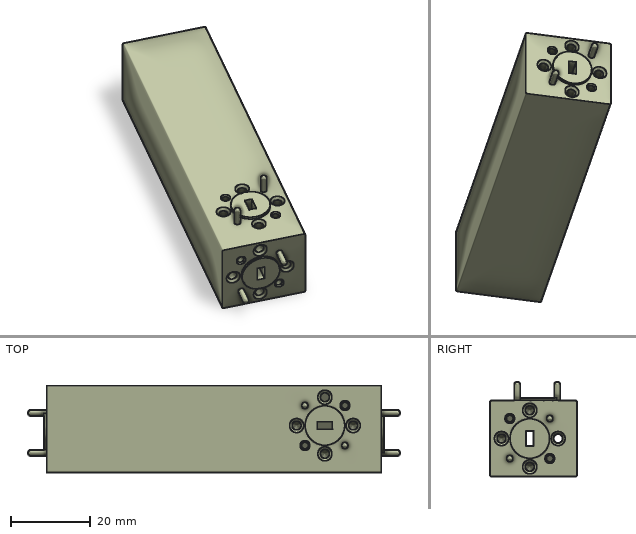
import cadquery as cq
import math

overall_length = 94.0
body_width = 22.1
pin_height = 4.7
body_length = overall_length - 2 * pin_height
overall_height = 24.0
body_height = overall_height - pin_height
edge_radius = 0.6

boss_diameter = 10.0
boss_height = 0.7
guide_long = 3.8
guide_short = 1.9
bolt_circle_radius = 7.1
dowel_offset = bolt_circle_radius * math.sqrt(0.5)

screw_hole_diameter = 2.3
screw_mouth_diameter = 3.6
screw_hole_depth = 5.6
drill_point_depth = 0.7

pin_diameter = 1.6
dowel_hole_diameter = 1.7
dowel_mouth_diameter = 2.4
dowel_hole_depth = 3.8

end_port_y = -0.9
top_port_y = 0.9
top_port_end_distance = 14.3
top_port_x = body_length / 2 - top_port_end_distance
top_guide_depth = body_height / 2

left_port = cq.Plane((-body_length / 2, end_port_y, 0), xDir=(0, 0, 1), normal=(-1, 0, 0))
right_port = cq.Plane((body_length / 2, end_port_y, 0), xDir=(0, 0, 1), normal=(1, 0, 0))
top_port = cq.Plane((top_port_x, top_port_y, body_height / 2), xDir=(1, 0, 0), normal=(0, 0, 1))
ports = (left_port, right_port, top_port)

screw_points = [
    (bolt_circle_radius, 0),
    (0, bolt_circle_radius),
    (-bolt_circle_radius, 0),
    (0, -bolt_circle_radius),
]
pin_points = [(-dowel_offset, dowel_offset), (dowel_offset, -dowel_offset)]
dowel_hole_points = [(dowel_offset, dowel_offset), (-dowel_offset, -dowel_offset)]


def place(solid, port, points):
    """Copies of a solid at the given points of a flange."""
    return cq.Workplane(port).pushPoints(points).eachpoint(lambda spot: solid.moved(spot), True)


def sunk_hole(diameter, mouth_diameter, depth, point_depth):
    """Cutter for a hole with a 45 degree countersink and a conical bottom."""
    radius = diameter / 2
    mouth_radius = mouth_diameter / 2
    sink_depth = mouth_radius - radius
    profile = [
        (0, 0),
        (mouth_radius, 0),
        (radius, -sink_depth),
        (radius, -depth),
        (0, -depth - point_depth),
    ]
    return cq.Workplane("XZ").polyline(profile).close().revolve(360, (0, 0, 0), (0, 1, 0)).val()


def dowel_pin():
    """Pin standing on the flange face with a hemispherical tip."""
    radius = pin_diameter / 2
    shoulder_height = pin_height - radius
    tip_middle = (radius * math.sqrt(0.5), shoulder_height + radius * math.sqrt(0.5))
    return (
        cq.Workplane("XZ")
        .lineTo(radius, 0)
        .lineTo(radius, shoulder_height)
        .threePointArc(tip_middle, (0, pin_height))
        .close()
        .revolve(360, (0, 0, 0), (0, 1, 0))
        .val()
    )


block = cq.Workplane("XY").box(body_length, body_width, body_height).edges("|X").fillet(edge_radius)

for port in ports:
    block = block.union(cq.Workplane(port).circle(boss_diameter / 2).extrude(boss_height))

screw_hole = sunk_hole(screw_hole_diameter, screw_mouth_diameter, screw_hole_depth, drill_point_depth)
dowel_hole = sunk_hole(dowel_hole_diameter, dowel_mouth_diameter, dowel_hole_depth, 0)
pin = dowel_pin()
for port in ports:
    block = block.cut(place(screw_hole, port, screw_points))
    block = block.cut(place(dowel_hole, port, dowel_hole_points))
    block = block.union(place(pin, port, pin_points))

flat_hole_depth = screw_hole_depth + drill_point_depth
flat_hole = (
    cq.Workplane(top_port)
    .center(0, bolt_circle_radius)
    .circle(screw_hole_diameter / 2)
    .extrude(-flat_hole_depth)
)
block = block.cut(flat_hole)

main_guide = cq.Workplane("XY").box(overall_length, guide_short, guide_long).translate((0, end_port_y, 0))
block = block.cut(main_guide)

branch_guide = (
    cq.Workplane(top_port)
    .workplane(offset=boss_height)
    .rect(guide_long, guide_short)
    .extrude(-top_guide_depth - boss_height)
)
block = block.cut(branch_guide)

through_hole = (
    cq.Workplane("YZ")
    .center(end_port_y + bolt_circle_radius, 0)
    .circle(screw_hole_diameter / 2)
    .extrude(body_length / 2, both=True)
)
block = block.cut(through_hole)

result = block